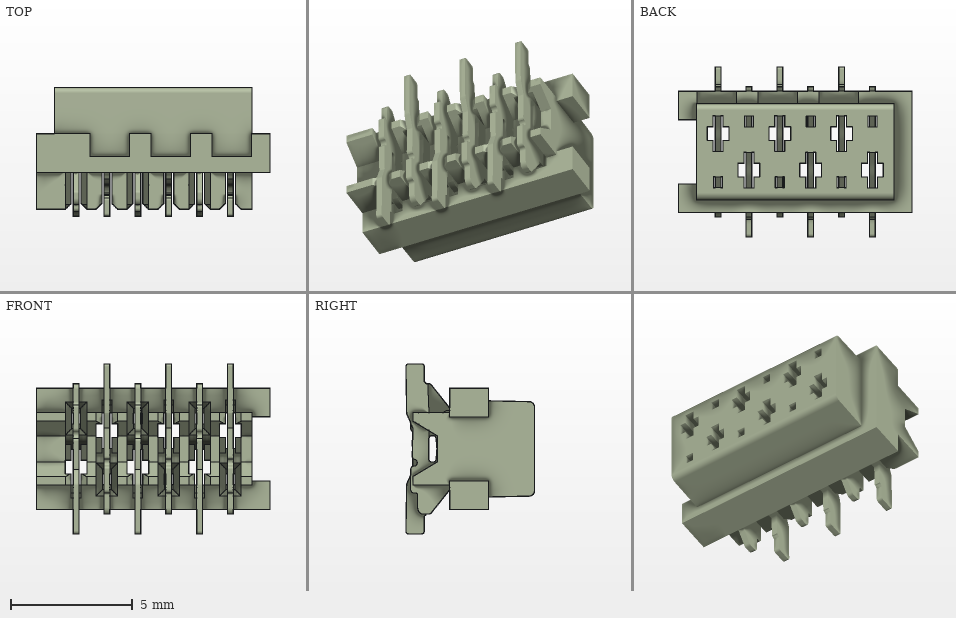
import cadquery as cq
import math

length = 9.62
pin_count = 6
pin_pitch = 1.27
pin_width = 0.25

flange_depth = 1.61
flange_half_height = 2.5
shroud_half_width = 4.07
shroud_back_y = 3.5
shroud_half_height = 1.98
shroud_back_half_height = 1.94
shroud_edge_radius = 0.24
end_notch_half_height = 1.32

key_count = 3
key_pitch = 2.51
key_first_x = -1.79
key_width = 1.62
key_front_y = 0.66

arm_half_height = 1.49
arm_front_y = -1.51
arm_tip_z = 1.14
groove_y = -0.5
groove_half_height = 0.54

cavity_width = 0.885
slot_width = 0.4
arm_chamfer = 0.24
window_top_z = -0.47
window_bottom_z = -1.03
lip_z = 0.58
lip_radius = 0.375
lip_slope = math.radians(15)
rail_top_z = 0.17
slot_top_z = -0.02
slot_bottom_z = -1.48
flare_mouth_z = -2.01
flare_mid_y = 0.2
flare_mid_z = -1.81
flare_end_y = 0.36

funnel_center_z = 1.25
funnel_height = 1.36
funnel_throat_width = 0.36
funnel_throat_height = 0.83
funnel_depth = 0.27
throat_step_y = 0.37
throat_back_height = 0.44

tip_z = 3.5
tip_radius = 0.12
leg_front_y = -1.8
leg_back_y = -1.04
head_base_z = 1.69
head_top_z = 2.68
head_corner_start = (-0.75, 2.64)
head_corner_end_y = -0.87
head_corner_radius = 0.15
head_front_y = -1.31
head_radius = 0.24
shoulder_y = -1.6
shoulder_z = 1.81
bend_radius = 0.11
corner_radius = 0.125
notch_radius = 0.14
notch_top_z = 0.71
notch_bottom_z = notch_top_z - 2 * notch_radius
waist_top_y = -1.54
waist_end = (-1.51, -0.86)
leg_bend_start = (-1.75, -1.41)
leg_bend_end = (-1.77, -1.47)
step_start_z = -2.78
step_middle = (-0.94, -2.68)
step_end = (-0.89, -2.67)
gap_front_y = -0.85
gap_back_y = -0.56
gap_top_z = groove_half_height
gap_radius = 0.12
blade_front_y = -0.47
blade_front_top_z = -0.63
blade_front_bottom_z = -1.01
blade_tip_start = (-0.27, -1.48)
blade_tip_radius = 0.37
blade_back_y = 0.58
blade_end_z = 1.59


def box(x_range, y_range, z_range):
    """Box spanning the three given (low, high) ranges."""
    sizes = [high - low for low, high in (x_range, y_range, z_range)]
    corner = (x_range[0], y_range[0], z_range[0])
    return cq.Workplane("XY").box(*sizes, centered=False).translate(corner)


def side_profile():
    """Sketch plane seen along X, with local axes (Y, Z)."""
    return cq.Workplane("YZ")


def make_flange():
    half = length / 2
    flange = box((-half, half), (0, flange_depth), (-flange_half_height, flange_half_height))
    end_notch = box(
        (shroud_half_width, half),
        (0, flange_depth),
        (-end_notch_half_height, end_notch_half_height),
    )
    flange = flange.cut(end_notch)
    for i in range(key_count):
        center = key_first_x + i * key_pitch
        key = box(
            (center - key_width / 2, center + key_width / 2),
            (key_front_y, flange_depth),
            (shroud_half_height, flange_half_height),
        )
        flange = flange.cut(key)
    return flange


def make_shroud():
    """Slightly drafted block with rounded upper and lower rear edges."""
    return (
        side_profile()
        .moveTo(flange_depth, -shroud_half_height)
        .lineTo(shroud_back_y, -shroud_back_half_height)
        .lineTo(shroud_back_y, shroud_back_half_height)
        .lineTo(flange_depth, shroud_half_height)
        .close()
        .extrude(shroud_half_width, both=True)
        .edges("|X and >Y")
        .fillet(shroud_edge_radius)
    )


def make_comb():
    """Front block with a V groove along X, later divided by the cavities."""
    return (
        side_profile()
        .workplane(offset=-length / 2)
        .moveTo(0, -arm_half_height)
        .lineTo(arm_front_y, -arm_half_height)
        .lineTo(arm_front_y, -arm_tip_z)
        .lineTo(groove_y, -groove_half_height)
        .lineTo(groove_y, groove_half_height)
        .lineTo(arm_front_y, arm_tip_z)
        .lineTo(arm_front_y, arm_half_height)
        .lineTo(0, arm_half_height)
        .close()
        .extrude(length / 2 + shroud_half_width)
    )


def make_cavity():
    """Everything removed around one contact whose head points up, centred on x = 0."""
    half = cavity_width / 2
    across = (-half, half)
    cavity = box(across, (arm_front_y, 0), (window_bottom_z, arm_half_height))

    window = box(across, (arm_front_y, shroud_back_y), (window_bottom_z, window_top_z))
    cavity = cavity.union(window)

    lip_end_y = lip_radius * math.cos(lip_slope)
    lip_end_z = lip_z - lip_radius * (1 - math.sin(lip_slope))
    rail_y = lip_end_y + (lip_end_z - rail_top_z) / math.tan(lip_slope)
    slot_top_y = rail_y + (rail_top_z - slot_top_z) / math.tan(lip_slope)
    rail = (
        side_profile()
        .moveTo(0, lip_z)
        .radiusArc((lip_end_y, lip_end_z), -lip_radius)
        .lineTo(rail_y, rail_top_z)
        .lineTo(rail_y, window_top_z)
        .lineTo(0, window_top_z)
        .close()
        .extrude(half, both=True)
    )
    cavity = cavity.union(rail)

    slot = (
        side_profile()
        .moveTo(0, rail_top_z)
        .lineTo(rail_y, rail_top_z)
        .lineTo(slot_top_y, slot_top_z)
        .lineTo(shroud_back_y, slot_top_z)
        .lineTo(shroud_back_y, slot_bottom_z)
        .lineTo(flare_end_y, slot_bottom_z)
        .lineTo(flare_mid_y, flare_mid_z)
        .lineTo(0, flare_mouth_z)
        .close()
        .extrude(slot_width / 2, both=True)
    )
    cavity = cavity.union(slot)

    passage_half = slot_width / 2
    mouth_half = passage_half + arm_chamfer
    passage = (
        cq.Workplane("XY", origin=(0, 0, -arm_half_height))
        .moveTo(-passage_half, 0)
        .lineTo(-passage_half, arm_front_y + arm_chamfer)
        .lineTo(-mouth_half, arm_front_y)
        .lineTo(mouth_half, arm_front_y)
        .lineTo(passage_half, arm_front_y + arm_chamfer)
        .lineTo(passage_half, 0)
        .close()
        .extrude(arm_half_height)
    )
    cavity = cavity.union(passage)
    return cavity.union(make_funnel())


def make_funnel():
    """Tapered entry, its throat and the smaller opening out of the rear."""
    taper = (
        cq.Workplane("XZ", origin=(0, 0, funnel_center_z))
        .rect(cavity_width, funnel_height)
        .workplane(offset=-funnel_depth)
        .rect(funnel_throat_width, funnel_throat_height)
        .loft(ruled=True)
    )
    throat_top = funnel_center_z + funnel_throat_height / 2
    throat_bottom = funnel_center_z - funnel_throat_height / 2
    back_top = funnel_center_z + throat_back_height / 2
    back_bottom = funnel_center_z - throat_back_height / 2
    throat = (
        side_profile()
        .moveTo(funnel_depth, throat_top)
        .lineTo(throat_step_y, back_top)
        .lineTo(shroud_back_y, back_top)
        .lineTo(shroud_back_y, back_bottom)
        .lineTo(throat_step_y, back_bottom)
        .lineTo(funnel_depth, throat_bottom)
        .close()
        .extrude(funnel_throat_width / 2, both=True)
    )
    return taper.union(throat)


def make_contact():
    """Flat stamped contact with its head up and its leg down, centred on x = 0."""
    return (
        side_profile()
        .moveTo(blade_back_y, blade_end_z)
        .lineTo(0, blade_end_z)
        .lineTo(0, head_base_z)
        .lineTo(*head_corner_start)
        .radiusArc((head_corner_end_y, head_top_z), -head_corner_radius)
        .lineTo(head_front_y + head_radius, head_top_z)
        .radiusArc((head_front_y, head_top_z - head_radius), -head_radius)
        .lineTo(head_front_y, shoulder_z + bend_radius)
        .radiusArc((head_front_y - bend_radius, shoulder_z), bend_radius)
        .lineTo(shoulder_y + corner_radius, shoulder_z)
        .radiusArc((shoulder_y, shoulder_z - corner_radius), -corner_radius)
        .lineTo(shoulder_y, notch_top_z + corner_radius)
        .radiusArc((shoulder_y + corner_radius, notch_top_z), -corner_radius)
        .threePointArc(
            (shoulder_y + corner_radius + notch_radius, notch_top_z - notch_radius),
            (shoulder_y + corner_radius, notch_bottom_z),
        )
        .radiusArc((waist_top_y, notch_bottom_z - corner_radius), -corner_radius)
        .lineTo(*waist_end)
        .lineTo(*leg_bend_start)
        .lineTo(*leg_bend_end)
        .lineTo(leg_front_y, tip_radius - tip_z)
        .radiusArc((leg_front_y + tip_radius, -tip_z), -tip_radius)
        .lineTo(leg_back_y - tip_radius, -tip_z)
        .radiusArc((leg_back_y, tip_radius - tip_z), -tip_radius)
        .lineTo(leg_back_y, step_start_z)
        .lineTo(*step_middle)
        .lineTo(*step_end)
        .lineTo(gap_front_y, -arm_half_height)
        .lineTo(gap_front_y, gap_top_z - gap_radius)
        .radiusArc((gap_front_y + gap_radius, gap_top_z), gap_radius)
        .lineTo(gap_back_y - gap_radius, gap_top_z)
        .radiusArc((gap_back_y, gap_top_z - gap_radius), gap_radius)
        .lineTo(blade_front_y, blade_front_top_z)
        .lineTo(blade_front_y, blade_front_bottom_z)
        .lineTo(*blade_tip_start)
        .radiusArc((0, -blade_end_z), -blade_tip_radius)
        .lineTo(blade_back_y, -blade_end_z)
        .close()
        .extrude(pin_width / 2, both=True)
    )


result = make_flange().union(make_shroud()).union(make_comb())
cavity_up = make_cavity()
contact_up = make_contact()
pin_places = []
for i in range(pin_count):
    pin_x = (i - (pin_count - 1) / 2) * pin_pitch
    pin_places.append((pin_x, i % 2 == 1))

for pin_x, flipped in pin_places:
    cavity = cavity_up.mirror("XY") if flipped else cavity_up
    result = result.cut(cavity.translate((pin_x, 0, 0)))
for pin_x, flipped in pin_places:
    contact = contact_up.mirror("XY") if flipped else contact_up
    result = result.union(contact.translate((pin_x, 0, 0)))